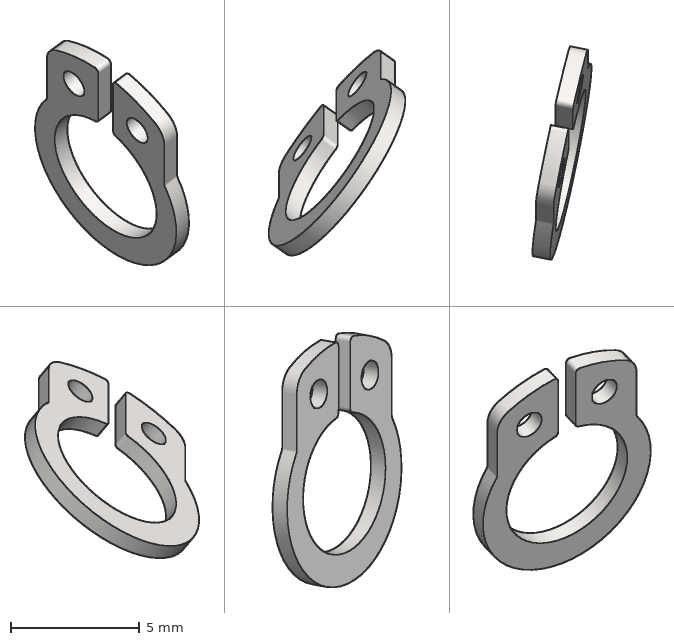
import cadquery as cq
import math

thickness = 0.7
total_height = 9.9
ring_radius = 3.896
bore_radius = 2.8
lug_top_radius = 5.84
lug_half_width = 3.24
gap_width = 0.8
hole_diameter = 1.15
hole_spacing = 3.48
hole_height = 3.99
shoulder_radius = 0.99
gap_corner_radius = 0.2
junction_radius = 0.2

corner_center_x = gap_width / 2 + gap_corner_radius
corner_center_radius = lug_top_radius - gap_corner_radius
lug_peak_height = math.sqrt(corner_center_radius**2 - corner_center_x**2) + gap_corner_radius
ring_center_z = lug_peak_height - total_height + ring_radius


def disc(radius, center_z=0.0):
    """Disc of the ring's thickness, centred on Y = 0."""
    plane = cq.Workplane("XZ", origin=(0, 0, center_z))
    return plane.circle(radius).extrude(thickness / 2, both=True)


def block(width, bottom, top):
    """Upright block of the ring's thickness, centred on X = 0."""
    middle = (bottom + top) / 2
    return cq.Workplane("XY").box(width, thickness, top - bottom).translate((0, 0, middle))


def edges_near(body, half_width, low, high):
    """Select the edges along Y on both sides between two heights."""
    margin = 0.01
    side_boxes = [
        cq.selectors.BoxSelector(
            (side * half_width - margin, -thickness, low),
            (side * half_width + margin, thickness, high),
        )
        for side in (-1, 1)
    ]
    return body.edges("|Y").edges(side_boxes[0] + side_boxes[1])


lugs = block(2 * lug_half_width, 0, lug_top_radius).intersect(disc(lug_top_radius))
body = disc(ring_radius, ring_center_z).union(lugs)

body = edges_near(body, lug_half_width, hole_height, lug_top_radius).fillet(shoulder_radius)
body = edges_near(body, lug_half_width, 0, bore_radius).fillet(junction_radius)

body = body.cut(disc(bore_radius))
body = body.cut(block(gap_width, 0, lug_top_radius))
body = edges_near(body, gap_width / 2, 0, lug_top_radius).fillet(gap_corner_radius)

holes = (
    cq.Workplane("XZ")
    .pushPoints([(side * hole_spacing / 2, hole_height) for side in (-1, 1)])
    .circle(hole_diameter / 2)
    .extrude(thickness / 2, both=True)
)
result = body.cut(holes)